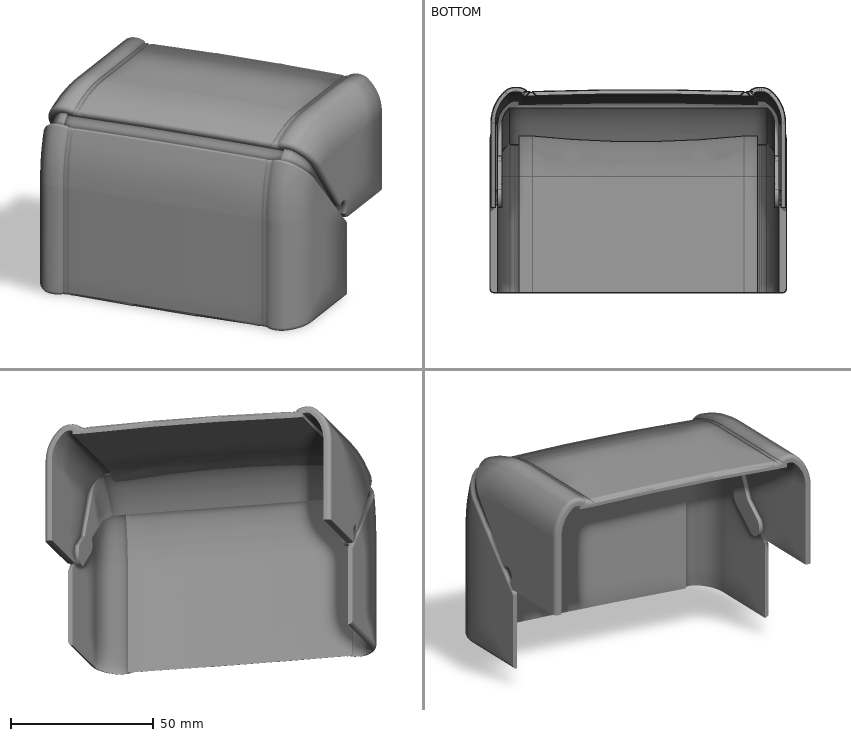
import cadquery as cq
import math


LEG_LENGTH = 72.2
LEG_DEPTH = 42.2
UPPER_HALF_WIDTH = 52.1
LOWER_HALF_WIDTH = 51.8
UPPER_WALL = 2.6
LOWER_WALL = 1.6
END_FILLET = 1.5
UPPER_LIP_FILLET = 1.2
LOWER_LIP_FILLET = 0.8

CORNER_RADIUS = 15.0
RIDGE_RADIUS = 5.4
RIDGE_X = 42.9
RIDGE_FLAT = 0.6
RIDGE_FOOT_X = 39.3
PANEL_DEPTH = 1.5
PANEL_CROWN = 0.6
GROOVE_X = 37.6
GROOVE_WIDTH = 0.8
GROOVE_DEPTH = 0.3
RIDGE_OUTER_X = RIDGE_X + RIDGE_FLAT / 2
RIDGE_INNER_X = RIDGE_X - RIDGE_FLAT / 2

BEND_START = 31.2
BEND_RADIUS = 51.0
BEND_ANGLE = 45.0

HINGE_DISTANCE = 38.2
UPPER_TRIM_ANGLE = 48.6
UPPER_TRIM_OVERLAP = 0.4
LOWER_TRIM_ANGLE = 46.8
LOWER_TRIM_SETBACK = 1.5
NOTCH_RADIUS = 2.5

TONGUE_RADIUS = 41.4
TONGUE_WALL = 1.6
TONGUE_DATUM_RADIUS = TONGUE_RADIUS + UPPER_WALL
TONGUE_START_ANGLE = 36.0
TONGUE_END_ANGLE = 62.0
EAR_RADIUS = 4.0
EAR_REACH = 12.5

CUT_MARGIN = 2.1
CUT_SIZE = 4 * LEG_LENGTH
PARALLEL_COSINE = 0.999


def corner_centre(half_width):
    """Centre (x, depth) of the +X corner arc, which runs tangent into the ridge arc."""
    x = half_width - CORNER_RADIUS
    depth = RIDGE_RADIUS + math.sqrt((CORNER_RADIUS - RIDGE_RADIUS) ** 2 - (RIDGE_OUTER_X - x) ** 2)
    return x, depth


def on_arc(centre, radius, angle):
    """Point (x, height) at an angle above +X on an arc whose centre is (x, depth)."""
    a = math.radians(angle)
    return centre[0] + radius * math.cos(a), -centre[1] + radius * math.sin(a)


def mirrored(point):
    return -point[0], point[1]


def ridged_outline(plane, half_width, bottom, inset=0.0, grooved=True):
    """Closed section with rounded corners, two ridges and a crowned panel, moved in by inset."""
    corner = corner_centre(half_width)
    ridge_outer = (RIDGE_OUTER_X, RIDGE_RADIUS)
    ridge_inner = (RIDGE_INNER_X, RIDGE_RADIUS)
    corner_r = CORNER_RADIUS - inset
    ridge_r = RIDGE_RADIUS - inset
    tangent_angle = math.degrees(math.atan2(corner[1] - RIDGE_RADIUS, RIDGE_OUTER_X - corner[0]))
    foot_x = RIDGE_FOOT_X + inset
    foot_angle = math.degrees(math.acos((foot_x - RIDGE_INNER_X) / ridge_r))
    panel = -PANEL_DEPTH - inset

    side = (corner[0] + corner_r, -corner[1])
    corner_mid = on_arc(corner, corner_r, tangent_angle / 2)
    ridge_start = on_arc(corner, corner_r, tangent_angle)
    outer_mid = on_arc(ridge_outer, ridge_r, (tangent_angle + 90) / 2)
    outer_top = on_arc(ridge_outer, ridge_r, 90)
    inner_top = on_arc(ridge_inner, ridge_r, 90)
    inner_mid = on_arc(ridge_inner, ridge_r, (foot_angle + 90) / 2)
    foot_top = on_arc(ridge_inner, ridge_r, foot_angle)
    foot = (foot_x, panel)
    groove_outer = GROOVE_X + GROOVE_WIDTH / 2
    groove_inner = GROOVE_X - GROOVE_WIDTH / 2
    groove = [
        (groove_outer, panel),
        (groove_outer, panel - GROOVE_DEPTH),
        (groove_inner, panel - GROOVE_DEPTH),
    ]
    panel_edge = (groove_inner, panel)
    step = [foot] + (groove if grooved else []) + [panel_edge]

    sketch = cq.Workplane(plane).moveTo(side[0], -bottom).lineTo(*side)
    sketch = sketch.threePointArc(corner_mid, ridge_start).threePointArc(outer_mid, outer_top)
    sketch = sketch.lineTo(*inner_top).threePointArc(inner_mid, foot_top)
    for point in step:
        sketch = sketch.lineTo(*point)
    sketch = sketch.threePointArc((0, panel + PANEL_CROWN), mirrored(panel_edge))
    for point in reversed(step[:-1]):
        sketch = sketch.lineTo(*mirrored(point))
    sketch = sketch.lineTo(*mirrored(foot_top))
    sketch = sketch.threePointArc(mirrored(inner_mid), mirrored(inner_top)).lineTo(*mirrored(outer_top))
    sketch = sketch.threePointArc(mirrored(outer_mid), mirrored(ridge_start))
    sketch = sketch.threePointArc(mirrored(corner_mid), mirrored(side))
    return sketch.lineTo(-side[0], -bottom).close()


def plain_outline(plane, half_width, bottom, inset):
    """Closed section for hollowing the tongue: inset corner arcs and a flat top without ridges."""
    corner = corner_centre(half_width)
    radius = CORNER_RADIUS - inset
    top_depth = PANEL_DEPTH + inset
    top_angle = math.degrees(math.asin((corner[1] - top_depth) / radius))
    side = (corner[0] + radius, -corner[1])
    middle = on_arc(corner, radius, top_angle / 2)
    top = on_arc(corner, radius, top_angle)
    return (
        cq.Workplane(plane)
        .moveTo(side[0], -bottom)
        .lineTo(*side)
        .threePointArc(middle, top)
        .lineTo(*mirrored(top))
        .threePointArc(mirrored(middle), mirrored(side))
        .lineTo(-side[0], -bottom)
        .close()
    )


def along_leg(outline, length):
    """Carry a section along the straight run and round the bend. outline(plane) makes the section."""
    section_plane = cq.Plane(origin=(0, BEND_START, 0), xDir=(1, 0, 0), normal=(0, -1, 0))
    straight = outline(section_plane).extrude(BEND_START - length)
    bend = outline(section_plane).revolve(BEND_ANGLE, (0, -BEND_RADIUS), (1, -BEND_RADIUS))
    return straight.union(bend)


def hinge_notches():
    """Round cutters for both side walls about the hinge axis, flared to round the outer edges."""
    wall_inside = UPPER_HALF_WIDTH - UPPER_WALL
    flare_start = UPPER_HALF_WIDTH - UPPER_LIP_FILLET
    flare_radius = NOTCH_RADIUS + UPPER_LIP_FILLET
    flare_bow = UPPER_LIP_FILLET * (1 - math.sqrt(0.5))
    cutter = (
        cq.Workplane("XY", origin=(0, HINGE_DISTANCE, -HINGE_DISTANCE))
        .moveTo(wall_inside, 0)
        .lineTo(wall_inside, NOTCH_RADIUS)
        .lineTo(flare_start, NOTCH_RADIUS)
        .threePointArc(
            (UPPER_HALF_WIDTH - flare_bow, NOTCH_RADIUS + flare_bow),
            (UPPER_HALF_WIDTH, flare_radius),
        )
        .lineTo(UPPER_HALF_WIDTH, 0)
        .close()
        .revolve(360, (0, 0), (1, 0))
    )
    return cutter.union(cutter.mirror("YZ"))


def beyond_trim(angle, overlap):
    """Everything in front of a slanted plane that passes the hinge axis at the distance overlap."""
    block = cq.Workplane("XY").box(CUT_SIZE, CUT_SIZE, CUT_SIZE)
    block = block.translate((0, -CUT_SIZE / 2 - overlap, 0))
    block = block.rotate((0, 0, 0), (1, 0, 0), 90 - angle)
    return block.translate((0, HINGE_DISTANCE, -HINGE_DISTANCE))


def leg_solid(half_width, trim_angle, trim_overlap):
    """Filled leg with a rounded open end, cut off along the slanted plane."""
    leg = along_leg(lambda plane: ridged_outline(plane, half_width, LEG_DEPTH), LEG_LENGTH)
    return leg.cut(beyond_trim(trim_angle, trim_overlap))


def leg_cavity(half_width, wall):
    return along_leg(
        lambda plane: ridged_outline(plane, half_width, LEG_DEPTH + CUT_MARGIN, wall, grooved=False),
        LEG_LENGTH + CUT_MARGIN,
    )


def trim_faces(leg, angle):
    """The flat faces that the slanted cut leaves on a leg."""
    a = math.radians(angle)
    outward = cq.Vector(0, -math.sin(a), -math.cos(a))
    flats = [face for face in leg.faces().vals() if face.geomType() == "PLANE"]
    return [face for face in flats if face.normalAt().dot(outward) > PARALLEL_COSINE]


def round_open_end(leg):
    return leg.faces(">Y").edges("not <Z").fillet(END_FILLET)


def tongue_sector(outline):
    """Sector about the hinge axis. outline(plane) makes its section, measured as for a leg."""
    top_height = TONGUE_DATUM_RADIUS - HINGE_DISTANCE
    top = cq.Plane(origin=(0, HINGE_DISTANCE, top_height), xDir=(1, 0, 0), normal=(0, -1, 0))
    sweep = TONGUE_END_ANGLE - TONGUE_START_ANGLE
    sector = outline(top).revolve(sweep, (0, -TONGUE_DATUM_RADIUS), (1, -TONGUE_DATUM_RADIUS))
    axis_start = (0, HINGE_DISTANCE, -HINGE_DISTANCE)
    axis_end = (1, HINGE_DISTANCE, -HINGE_DISTANCE)
    return sector.rotate(axis_start, axis_end, 90 - TONGUE_END_ANGLE)


def make_tongue():
    """Thin hood about the hinge axis, flush against the inside of the upper leg's side walls.

    Each end has a long ear that runs from the hinge axis along the hood's lower edge.
    """
    half_width = UPPER_HALF_WIDTH
    outer = tongue_sector(
        lambda plane: ridged_outline(plane, half_width, TONGUE_DATUM_RADIUS, UPPER_WALL, grooved=False)
    )
    inner_inset = UPPER_WALL + TONGUE_WALL
    inner = tongue_sector(lambda plane: plain_outline(plane, half_width, TONGUE_DATUM_RADIUS, inner_inset))
    hood = outer.cut(inner)
    ear_outer_x = half_width - UPPER_WALL
    for start in (-ear_outer_x, ear_outer_x - TONGUE_WALL):
        ear = (
            cq.Workplane("YZ", origin=(start, HINGE_DISTANCE, -HINGE_DISTANCE))
            .transformed(rotate=(0, 0, 180 - TONGUE_START_ANGLE))
            .center(EAR_REACH / 2, 0)
            .slot2D(EAR_REACH + 2 * EAR_RADIUS, 2 * EAR_RADIUS)
            .extrude(TONGUE_WALL)
        )
        hood = hood.union(ear)
    return hood


def make_upper_leg():
    leg = leg_solid(UPPER_HALF_WIDTH, UPPER_TRIM_ANGLE, UPPER_TRIM_OVERLAP)
    leg = round_open_end(leg)
    rim = leg.newObject(trim_faces(leg, UPPER_TRIM_ANGLE)).edges("not <Z")
    leg = rim.fillet(UPPER_LIP_FILLET)
    leg = leg.cut(leg_cavity(UPPER_HALF_WIDTH, UPPER_WALL)).cut(hinge_notches())
    return leg.union(make_tongue())


def make_lower_leg():
    leg = leg_solid(LOWER_HALF_WIDTH, LOWER_TRIM_ANGLE, -LOWER_TRIM_SETBACK)
    leg = round_open_end(leg)
    rim = leg.newObject(trim_faces(leg, LOWER_TRIM_ANGLE)).edges("not <Z")
    leg = rim.fillet(LOWER_LIP_FILLET)
    leg = leg.cut(leg_cavity(LOWER_HALF_WIDTH, LOWER_WALL))
    return leg.rotate((0, 0, 0), (0, 1, -1), 180)


upper_leg = make_upper_leg()
lower_leg = make_lower_leg()

result = cq.Compound.makeCompound([upper_leg.solids().val(), lower_leg.solids().val()])